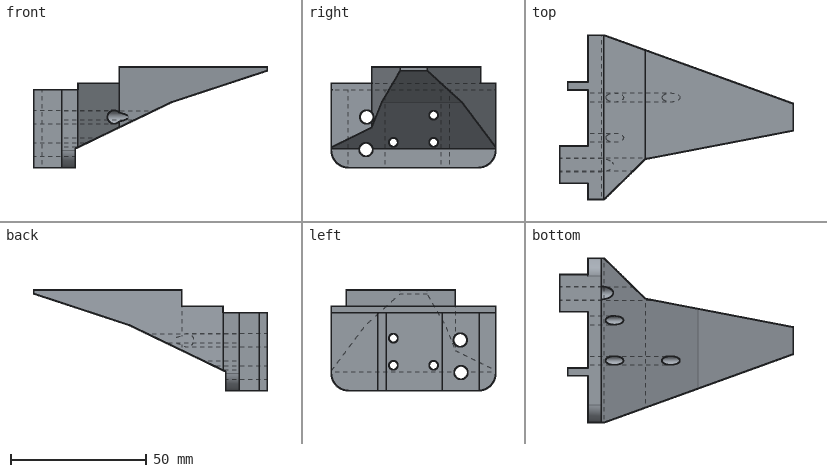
import cadquery as cq

length = 86.6
width = 61.0
height = 37.3

plate_front = 10.5
plate_back = 15.5
plate_top = 28.9
corner_radius = 6.6

arm_front = 16.45
step_x = 31.7
step_top = 31.35
arm_root_z = 7.1
bend_x = 51.1
bend_z = 24.25
tip_thickness = 1.4
waist_y = 15.0
tip_y_low = 25.55
tip_y_high = 35.6

block_y = 6.1
block_width = 13.85
rib_front = 3.0
rib_y = 40.6
rib_width = 3.0

large_hole_diameter = 4.9
large_holes = [(13.2, 18.8), (12.9, 6.75)]
small_hole_diameter = 3.2
small_hole_low_z = 9.4
small_hole_high_z = 19.5
small_hole_left_y = 37.9
small_hole_right_y = 23.0
small_holes = [
    (small_hole_left_y, small_hole_high_z),
    (small_hole_left_y, small_hole_low_z),
    (small_hole_right_y, small_hole_low_z),
]


def box_between(x_start, x_end, y_start, y_width, z_top):
    """Upright box standing on Z = 0."""
    box = cq.Workplane("XY").box(x_end - x_start, y_width, z_top, centered=False)
    return box.translate((x_start, y_start, 0))


def make_plate():
    """Plate with its two lower corners rounded."""
    plate = box_between(plate_front, plate_back, 0, width, plate_top)
    return plate.edges("|X and <Z").fillet(corner_radius)


def make_arm():
    """Side profile limited to the tapering plan outline."""
    profile = (
        cq.Workplane("XZ")
        .moveTo(plate_back, arm_root_z)
        .lineTo(bend_x, bend_z)
        .lineTo(length, height - tip_thickness)
        .lineTo(length, height)
        .lineTo(step_x, height)
        .lineTo(step_x, step_top)
        .lineTo(arm_front, step_top)
        .lineTo(arm_front, plate_top)
        .lineTo(plate_back, plate_top)
        .close()
        .extrude(-width)
    )
    plan = (
        cq.Workplane("XY")
        .moveTo(plate_back, 0)
        .lineTo(arm_front, 0)
        .lineTo(step_x, waist_y)
        .lineTo(length, tip_y_low)
        .lineTo(length, tip_y_high)
        .lineTo(arm_front, width)
        .lineTo(plate_back, width)
        .close()
        .extrude(height)
    )
    return profile.intersect(plan)


def make_holes(centres, diameter):
    """Cylinders along the full length of the part."""
    return cq.Workplane("YZ").pushPoints(centres).circle(diameter / 2).extrude(length)


block = box_between(0, plate_front, block_y, block_width, plate_top)
rib = box_between(rib_front, plate_front, rib_y, rib_width, plate_top)

result = make_plate().union(make_arm()).union(block).union(rib)
result = result.cut(make_holes(large_holes, large_hole_diameter))
result = result.cut(make_holes(small_holes, small_hole_diameter))